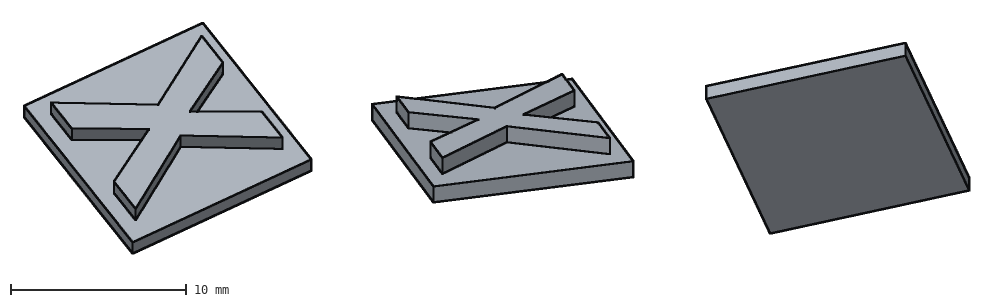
import cadquery as cq

plate_side = 11.9
plate_thickness = 1.0

boss_height = 1.0
edge_margin = 1.0
end_y = plate_side / 2 - edge_margin

upper_outer_x = 4.43
upper_left_inner_x = -2.10
upper_right_inner_x = 2.15
lower_outer_x = 4.63
lower_left_inner_x = -2.36
lower_right_inner_x = 2.25

upper_notch = (0.04, 1.44)
right_notch = (1.29, 0.08)
lower_notch = (-0.07, -1.20)
left_notch = (-1.34, 0.17)


def make_plate():
    return cq.Workplane("XY").box(
        plate_side, plate_side, plate_thickness, centered=(True, True, False)
    )


def make_cross_boss():
    outline = [
        (-upper_outer_x, end_y),
        (upper_left_inner_x, end_y),
        upper_notch,
        (upper_right_inner_x, end_y),
        (upper_outer_x, end_y),
        right_notch,
        (lower_outer_x, -end_y),
        (lower_right_inner_x, -end_y),
        lower_notch,
        (lower_left_inner_x, -end_y),
        (-lower_outer_x, -end_y),
        left_notch,
    ]
    return (
        cq.Workplane("XY")
        .workplane(offset=plate_thickness)
        .polyline(outline)
        .close()
        .extrude(boss_height)
    )


result = make_plate().union(make_cross_boss())